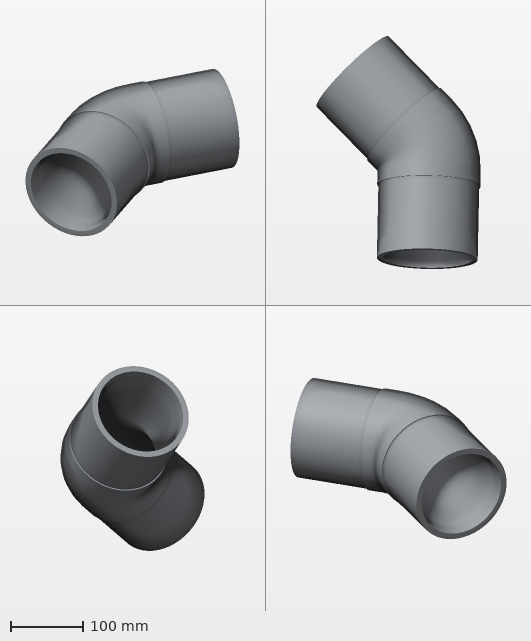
import cadquery as cq
import math

BEND_ANGLE = 45.0
PIPE_DIAMETER = 140.0
PIPE_WALL = 8.3
BODY_WALL_FACTOR = 1.2
BEND_CLEARANCE = 0.34
LEG_LENGTH = 154.0
COLLAR_LENGTH = 20.5

bore_diameter = PIPE_DIAMETER - 2 * PIPE_WALL
body_diameter = bore_diameter + 2 * BODY_WALL_FACTOR * PIPE_WALL


def bend_radius(diameter):
    """Centreline radius of the tight bend of a tube."""
    return diameter / 2 + BEND_CLEARANCE


def tangent_length(diameter):
    """Distance from the crossing of the axes to either end of the bend."""
    return bend_radius(diameter) * math.tan(math.radians(BEND_ANGLE / 2))


def bend(diameter):
    """Solid bend that leaves the inlet axis and turns toward +X."""
    radius = bend_radius(diameter)
    return (
        cq.Workplane("XZ", origin=(0, -tangent_length(diameter), 0))
        .circle(diameter / 2)
        .revolve(BEND_ANGLE, (radius, 1, 0), (radius, 0, 0))
    )


def inlet_cylinder(diameter, start, end):
    """Cylinder on the inlet axis between two distances from the crossing of the axes."""
    return cq.Workplane("XZ", origin=(0, -start, 0)).circle(diameter / 2).extrude(end - start)


def at_outlet(inlet_shape):
    """Copy of an inlet shape, moved to the outlet axis."""
    return inlet_shape.mirror("XZ").rotate((0, 0, 0), (0, 0, 1), -BEND_ANGLE)


def with_legs(middle, leg):
    """Join a bend to the same leg at each of its ends."""
    return middle.union(leg).union(at_outlet(leg))


def outside():
    """Bend, collars and spigots, without the bore."""
    collar_start = tangent_length(body_diameter)
    collar_end = collar_start + COLLAR_LENGTH
    collar = inlet_cylinder(body_diameter, collar_start, collar_end)
    spigot = inlet_cylinder(PIPE_DIAMETER, collar_end, LEG_LENGTH)
    return with_legs(bend(body_diameter), collar.union(spigot))


def bore():
    """Passage that follows the elbow from end to end."""
    bore_leg = inlet_cylinder(bore_diameter, tangent_length(bore_diameter), LEG_LENGTH)
    return with_legs(bend(bore_diameter), bore_leg)


result = outside().cut(bore())